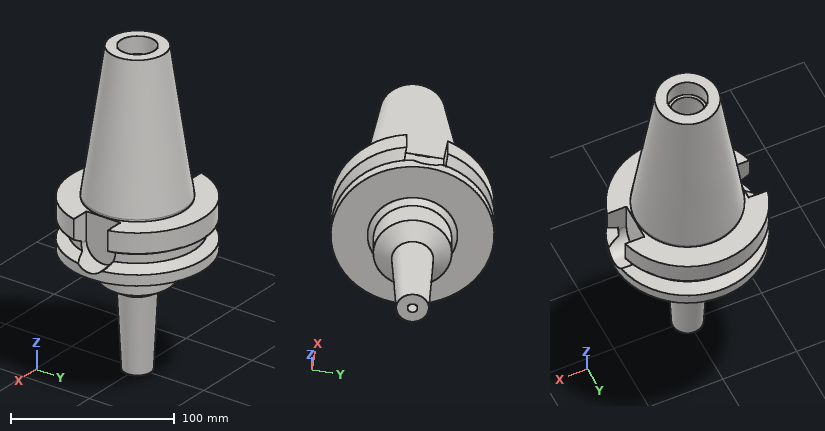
import cadquery as cq

total_height = 221.8
gauge_height = 120.0
flange_top = 118.5
flange_bottom = 82.0
groove_center = 97.0
neck_bottom = 62.0
nose_top = 55.2

taper_small_radius = 40.1 / 2
gauge_radius = 69.9 / 2
flange_radius = 100.0 / 2
groove_radius = 42.5
neck_radius = 24.0
nose_top_radius = 25.5 / 2
nose_end_radius = 10.0

groove_floor_width = 6.2
groove_flank_height = 4.2
neck_chamfer = 3.5

socket_radius = 25.0 / 2
socket_depth = 12.2
inner_bore_radius = 21.0 / 2
inner_bore_depth = 44.4
coolant_hole_radius = 6.0 / 2

slot_width = 25.7
slot_floor_distance = 35.3
slot_bottom = 86.0


def turned_body():
    """Revolve the taper, grooved flange, neck and nose about Z."""
    floor_low = groove_center - groove_floor_width / 2
    floor_high = groove_center + groove_floor_width / 2
    profile = [
        (0, 0),
        (nose_end_radius, 0),
        (nose_top_radius, nose_top),
        (neck_radius, neck_bottom),
        (neck_radius, flange_bottom - neck_chamfer),
        (neck_radius + neck_chamfer, flange_bottom),
        (flange_radius, flange_bottom),
        (flange_radius, floor_low - groove_flank_height),
        (groove_radius, floor_low),
        (groove_radius, floor_high),
        (flange_radius, floor_high + groove_flank_height),
        (flange_radius, flange_top),
        (gauge_radius, flange_top),
        (gauge_radius, gauge_height),
        (taper_small_radius, total_height),
        (0, total_height),
    ]
    return cq.Workplane("XZ").polyline(profile).close().revolve(360, (0, 0, 0), (0, 1, 0))


def bore(radius, depth):
    """Cylinder running down from the small end of the taper."""
    return cq.Workplane("XY").workplane(offset=total_height - depth).circle(radius).extrude(depth)


def drive_slot(side):
    """Cutter with a half-round lower end; side is -1 for -X and +1 for +X."""
    half_width = slot_width / 2
    arc_center = slot_bottom + half_width
    radial_depth = flange_radius - slot_floor_distance
    return (
        cq.Workplane("YZ", origin=(side * slot_floor_distance, 0, 0))
        .moveTo(-half_width, flange_top)
        .lineTo(-half_width, arc_center)
        .threePointArc((0, slot_bottom), (half_width, arc_center))
        .lineTo(half_width, flange_top)
        .close()
        .extrude(side * radial_depth)
    )


result = turned_body()
result = result.cut(bore(socket_radius, socket_depth))
result = result.cut(bore(inner_bore_radius, inner_bore_depth))
result = result.cut(bore(coolant_hole_radius, total_height))
for side in (-1, 1):
    result = result.cut(drive_slot(side))